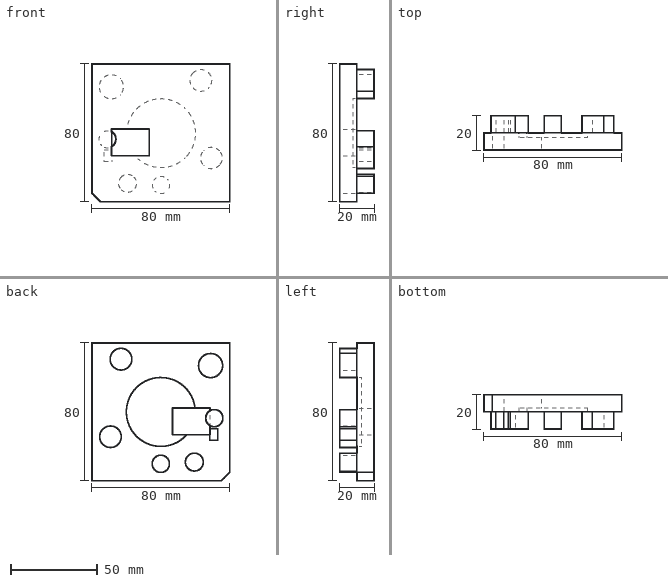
import cadquery as cq

PLATE_SIDE = 80.0
PLATE_THICKNESS = 10.0
CORNER_CHAMFER = 5.0

WINDOW_LEFT = 11.5
WINDOW_BOTTOM = 26.8
WINDOW_WIDTH = 21.7
WINDOW_HEIGHT = 15.4

RECESS_RADIUS = 20.0
RECESS_DEPTH = 2.5

PEG_LENGTH = 10.0
PEGS = [
    (11.15, 66.9, 7.0),
    (63.1, 70.6, 6.3),
    (69.2, 25.6, 6.25),
    (9.0, 36.4, 5.0),
    (20.55, 10.9, 5.2),
    (40.0, 9.9, 5.0),
]
BLOCK_LEFT = 7.0
BLOCK_BOTTOM = 23.5
BLOCK_HEIGHT = 6.7
BLOCK_WIDTH = WINDOW_LEFT - BLOCK_LEFT


def box_at(x, y, z, width, depth, height):
    """Box whose lowest corner is at (x, y, z)."""
    return cq.Workplane("XY").box(width, depth, height, centered=False).translate((x, y, z))


def cylinder_along_y(x, z, radius, y_start, length):
    """Cylinder that runs from y_start toward +Y."""
    end_plane = cq.Plane(origin=(x, y_start, z), xDir=(1, 0, 0), normal=(0, 1, 0))
    return cq.Workplane(end_plane).circle(radius).extrude(length)


def make_plate():
    plate = box_at(0, 0, 0, PLATE_SIDE, PLATE_THICKNESS, PLATE_SIDE)
    plate = plate.edges("|Y and <X and <Z").chamfer(CORNER_CHAMFER)
    window = box_at(WINDOW_LEFT, 0, WINDOW_BOTTOM, WINDOW_WIDTH, PLATE_THICKNESS, WINDOW_HEIGHT)
    middle = PLATE_SIDE / 2
    recess_floor = PLATE_THICKNESS - RECESS_DEPTH
    recess = cylinder_along_y(middle, middle, RECESS_RADIUS, recess_floor, RECESS_DEPTH)
    return plate.cut(window).cut(recess)


def add_pegs(body):
    for x, z, radius in PEGS:
        body = body.union(cylinder_along_y(x, z, radius, PLATE_THICKNESS, PEG_LENGTH))
    return body


def add_block(body):
    block = box_at(BLOCK_LEFT, PLATE_THICKNESS, BLOCK_BOTTOM, BLOCK_WIDTH, PEG_LENGTH, BLOCK_HEIGHT)
    return body.union(block)


result = add_block(add_pegs(make_plate()))